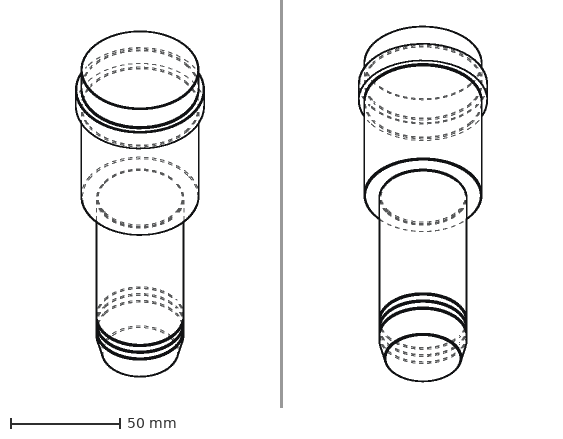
import cadquery as cq

total_height = 173.0
shoulder_z = 95.2
head_height = 12.1
collar_thickness = 10.0
collar_top_z = total_height - head_height
collar_bottom_z = collar_top_z - collar_thickness

collar_diameter = 59.0
collar_radius = collar_diameter / 2
body_radius = 27.0
pin_radius = 20.0
neck_radius = 19.4
tip_radius = 17.6

body_chamfer = 0.5
edge_break = 0.3
neck_height = 0.9
groove_width = 1.0
groove_depth = 0.3
groove_pitch = 4.2
groove_count = 3
lowest_groove_z = 13.5
nose_height = 10.4
tip_chamfer = 0.5


def cylinder(radius, bottom_z, top_z):
    """Solid cylinder on the Z axis between two levels."""
    return cq.Workplane("XY").workplane(offset=bottom_z).circle(radius).extrude(top_z - bottom_z)


def vee_groove(radius, centre_z):
    """Ring of V section that cuts a groove round a cylinder of the given radius."""
    profile = [
        (radius, centre_z - groove_width / 2),
        (radius, centre_z + groove_width / 2),
        (radius - groove_depth, centre_z),
    ]
    return cq.Workplane("XZ").polyline(profile).close().revolve(360, (0, 0), (0, 1))


def make_body():
    """Large cylinder with its collar and a V groove on each side of the collar."""
    body = cylinder(body_radius, shoulder_z, total_height)
    body = body.faces("<Z").edges().chamfer(body_chamfer)
    body = body.faces(">Z").edges().chamfer(edge_break)
    for groove_z in (collar_top_z + groove_width / 2, collar_bottom_z - groove_width / 2):
        body = body.cut(vee_groove(body_radius, groove_z))
    collar = cylinder(collar_radius, collar_bottom_z, collar_top_z)
    collar = collar.faces(">Z").edges().chamfer(edge_break)
    return body.union(collar)


def make_pin():
    """Pin with V grooves, a tapered nose, a chamfered tip and a narrow neck under the body."""
    neck_bottom_z = shoulder_z - neck_height
    pin = (
        cq.Workplane("XZ")
        .lineTo(tip_radius - tip_chamfer, 0)
        .lineTo(tip_radius, tip_chamfer)
        .lineTo(pin_radius, nose_height)
        .lineTo(pin_radius, neck_bottom_z - edge_break)
        .lineTo(pin_radius - edge_break, neck_bottom_z)
        .lineTo(neck_radius, neck_bottom_z)
        .lineTo(neck_radius, shoulder_z)
        .lineTo(0, shoulder_z)
        .close()
        .revolve(360, (0, 0), (0, 1))
    )
    for index in range(groove_count):
        pin = pin.cut(vee_groove(pin_radius, lowest_groove_z + index * groove_pitch))
    return pin


result = make_body().union(make_pin())